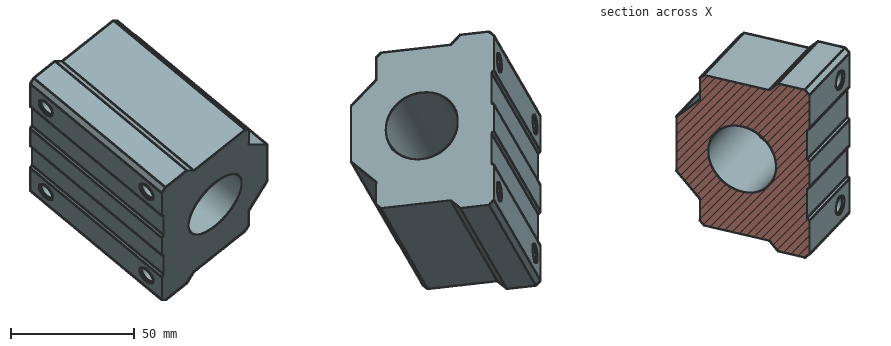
import cadquery as cq

LENGTH = 76.0
DEPTH = 59.5
FLANGE_HALF_HEIGHT = 39.0
EDGE_CHAMFER = 2.0

FLANGE_THICKNESS = 14.0
BODY_HALF_HEIGHT = 35.0
BODY_DEPTH = 49.0

BACK_HALF_HEIGHT = 12.5
BACK_RISE = DEPTH - BODY_DEPTH

GROOVE_DEPTH = 1.0
GROOVE_FLOOR_WIDTH = 13.25
GROOVE_OFFSET = 13.625

BORE_DIAMETER = 30.0
BORE_DISTANCE = 30.0

HOLE_SPACING = 58.0
HOLE_DIAMETER = 6.65
HOLE_MOUTH_DIAMETER = 8.0
COUNTERSINK_DEPTH = (HOLE_MOUTH_DIAMETER - HOLE_DIAMETER) / 2


def make_block():
    """Extrude the symmetric outline, drawn in (Y, Z), along X."""
    flange_slope = FLANGE_HALF_HEIGHT - BODY_HALF_HEIGHT
    upper_half = [
        (0, FLANGE_HALF_HEIGHT - EDGE_CHAMFER),
        (EDGE_CHAMFER, FLANGE_HALF_HEIGHT),
        (FLANGE_THICKNESS, FLANGE_HALF_HEIGHT),
        (FLANGE_THICKNESS + flange_slope, BODY_HALF_HEIGHT),
        (BODY_DEPTH - EDGE_CHAMFER, BODY_HALF_HEIGHT),
        (BODY_DEPTH, BODY_HALF_HEIGHT - EDGE_CHAMFER),
        (BODY_DEPTH, BACK_HALF_HEIGHT + BACK_RISE),
        (DEPTH, BACK_HALF_HEIGHT),
    ]
    lower_half = [(y, -z) for y, z in reversed(upper_half)]
    outline = cq.Workplane("YZ").polyline(upper_half + lower_half).close()
    return outline.extrude(LENGTH / 2, both=True)


def make_groove(center_z):
    """Trapezoidal cutter for one groove along the mounting face."""
    floor_half = GROOVE_FLOOR_WIDTH / 2
    mouth_half = floor_half + GROOVE_DEPTH
    corners = [
        (0, center_z - mouth_half),
        (GROOVE_DEPTH, center_z - floor_half),
        (GROOVE_DEPTH, center_z + floor_half),
        (0, center_z + mouth_half),
    ]
    return cq.Workplane("YZ").polyline(corners).close().extrude(LENGTH / 2, both=True)


def make_bore():
    """Cutter for the bearing bore through the full length."""
    circle = cq.Workplane("YZ").center(BORE_DISTANCE, 0).circle(BORE_DIAMETER / 2)
    return circle.extrude(LENGTH / 2, both=True)


def make_mounting_hole():
    """Revolved cutter for one countersunk through hole along Y, centered on the Y axis."""
    hole_radius = HOLE_DIAMETER / 2
    half_section = [
        (0, 0),
        (HOLE_MOUTH_DIAMETER / 2, 0),
        (hole_radius, COUNTERSINK_DEPTH),
        (hole_radius, BODY_DEPTH),
        (0, BODY_DEPTH),
    ]
    section = cq.Workplane("XY").polyline(half_section).close()
    return section.revolve(360, (0, 0, 0), (0, 1, 0))


result = make_block().cut(make_bore())

for side in (-1, 1):
    result = result.cut(make_groove(side * GROOVE_OFFSET))

for x_side in (-1, 1):
    for z_side in (-1, 1):
        hole_position = (x_side * HOLE_SPACING / 2, 0, z_side * HOLE_SPACING / 2)
        result = result.cut(make_mounting_hole().translate(hole_position))